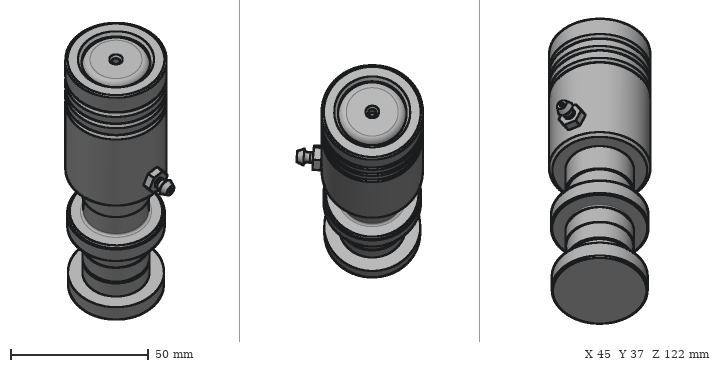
import cadquery as cq
import math

TOP = 122.0
BUSHING_LENGTH = 60.0
BUSHING_BOTTOM = TOP - BUSHING_LENGTH
NECK_TOP = 50.5
COLLAR_TOP = 40.0
COLLAR_BOTTOM = 32.1
UNDERCUT_BOTTOM = 31.1
FIT_STEP = 23.0
PILLAR_BOTTOM = 14.4
FLANGE_TOP = 7.3

BUSHING_D = 37.0
BUSHING_TOP_EDGE_WIDTH = 0.9
BUSHING_TOP_EDGE_HEIGHT = 0.5
BUSHING_BOTTOM_CHAMFER = 1.2
MOUTH_D = 27.7
GROOVE_COUNT = 3
GROOVE_PITCH = 6.1
FIRST_GROOVE_DEPTH = 9.6
GROOVE_WIDTH = 2.5
GROOVE_DEPTH = 1.1

PILLAR_D = 25.0
NECK_D = 23.9
TAIL_D = 24.5
COLLAR_D = 35.6
NOSE_FILLET = 3.0
NECK_FILLET = 1.0
COLLAR_TOP_CHAMFER = 0.7
COLLAR_TAPER_WIDTH = 0.2
COLLAR_TAPER_HEIGHT = 0.5
UNDERCUT_FILLET = 0.4
COLLAR_BOTTOM_CHAMFER = 0.5
SEAT_CHAMFER = 0.5
TAIL_CHAMFER = 0.9
CENTRE_MOUTH_D = 4.9
CENTRE_HOLE_D = 2.9
CENTRE_HOLE_DEPTH = 4.9
DRILL_POINT_ANGLE = 118.0

CAP_D = 35.0
CAP_CHAMFER_WIDTH = 0.5
CAP_CHAMFER_HEIGHT = 0.7

NIPPLE_Z = 72.0
NIPPLE_ANGLE = -20.0
HEX_FLATS = 8.3
HEX_THICKNESS = 3.0
NIPPLE_COLLAR_D = 4.0
NIPPLE_COLLAR_END = 4.1
WAIST_D = 3.7
WAIST_POSITION = 5.2
HEAD_D = 6.1
HEAD_POSITION = 6.5
TIP_D = 4.0
TIP_POSITION = 9.0
GREASE_PORT_D = 1.5
GREASE_PORT_DEPTH = 1.2
SHANK_D = 5.0
SHANK_LENGTH = 5.0


def revolve_profile(profile):
    """Close a half section drawn in XZ and turn it about the Z axis."""
    return profile.close().revolve(360, (0, 0, 0), (0, 1, 0))


def nipple_plane():
    """Plane tangent to the bushing, facing outward along the nipple axis."""
    angle = math.radians(NIPPLE_ANGLE)
    direction = (math.cos(angle), math.sin(angle), 0)
    radius = BUSHING_D / 2
    origin = (radius * direction[0], radius * direction[1], NIPPLE_Z)
    return cq.Plane(origin=origin, xDir=(0, 0, 1), normal=direction)


def nipple_shank():
    return cq.Workplane(nipple_plane()).circle(SHANK_D / 2).extrude(-SHANK_LENGTH)


def make_groove(centre_z):
    """Ring-shaped cutter with 45 degree flanks and a narrow flat floor."""
    outer = BUSHING_D / 2
    half_width = GROOVE_WIDTH / 2
    half_floor = half_width - GROOVE_DEPTH
    return revolve_profile(
        cq.Workplane("XZ")
        .moveTo(outer, centre_z - half_width)
        .lineTo(outer - GROOVE_DEPTH, centre_z - half_floor)
        .lineTo(outer - GROOVE_DEPTH, centre_z + half_floor)
        .lineTo(outer, centre_z + half_width)
    )


def make_bushing():
    bore = PILLAR_D / 2
    outer = BUSHING_D / 2
    mouth = MOUTH_D / 2
    mouth_depth = mouth - bore
    body = revolve_profile(
        cq.Workplane("XZ")
        .moveTo(bore, BUSHING_BOTTOM)
        .lineTo(outer - BUSHING_BOTTOM_CHAMFER, BUSHING_BOTTOM)
        .lineTo(outer, BUSHING_BOTTOM + BUSHING_BOTTOM_CHAMFER)
        .lineTo(outer, TOP - BUSHING_TOP_EDGE_HEIGHT)
        .lineTo(outer - BUSHING_TOP_EDGE_WIDTH, TOP)
        .lineTo(mouth, TOP)
        .lineTo(bore, TOP - mouth_depth)
    )
    for index in range(GROOVE_COUNT):
        body = body.cut(make_groove(TOP - FIRST_GROOVE_DEPTH - index * GROOVE_PITCH))
    return body.cut(nipple_shank())


def make_centre_hole():
    """Countersunk blind hole with a conical drill point."""
    radius = CENTRE_HOLE_D / 2
    countersink = (CENTRE_MOUTH_D - CENTRE_HOLE_D) / 2
    point_height = radius / math.tan(math.radians(DRILL_POINT_ANGLE / 2))
    floor = TOP - CENTRE_HOLE_DEPTH
    return revolve_profile(
        cq.Workplane("XZ")
        .moveTo(0, TOP)
        .lineTo(CENTRE_MOUTH_D / 2, TOP)
        .lineTo(radius, TOP - countersink)
        .lineTo(radius, floor)
        .lineTo(0, floor - point_height)
    )


def make_pillar():
    radius = PILLAR_D / 2
    neck = NECK_D / 2
    tail = TAIL_D / 2
    collar = COLLAR_D / 2
    chamfer_outer = collar - COLLAR_TAPER_WIDTH
    chamfer_bottom = COLLAR_TOP - COLLAR_TOP_CHAMFER
    body = revolve_profile(
        cq.Workplane("XZ")
        .moveTo(0, PILLAR_BOTTOM)
        .lineTo(tail - TAIL_CHAMFER, PILLAR_BOTTOM)
        .lineTo(tail, PILLAR_BOTTOM + TAIL_CHAMFER)
        .lineTo(tail, FIT_STEP)
        .lineTo(radius, FIT_STEP)
        .lineTo(radius, UNDERCUT_BOTTOM - SEAT_CHAMFER)
        .lineTo(neck, UNDERCUT_BOTTOM)
        .lineTo(neck, COLLAR_BOTTOM - UNDERCUT_FILLET)
        .radiusArc((neck + UNDERCUT_FILLET, COLLAR_BOTTOM), UNDERCUT_FILLET)
        .lineTo(collar - COLLAR_BOTTOM_CHAMFER, COLLAR_BOTTOM)
        .lineTo(collar, COLLAR_BOTTOM + COLLAR_BOTTOM_CHAMFER)
        .lineTo(collar, chamfer_bottom - COLLAR_TAPER_HEIGHT)
        .lineTo(chamfer_outer, chamfer_bottom)
        .lineTo(chamfer_outer - COLLAR_TOP_CHAMFER, COLLAR_TOP)
        .lineTo(neck + NECK_FILLET, COLLAR_TOP)
        .radiusArc((neck, COLLAR_TOP + NECK_FILLET), NECK_FILLET)
        .lineTo(neck, NECK_TOP)
        .lineTo(radius, NECK_TOP)
        .lineTo(radius, TOP - NOSE_FILLET)
        .radiusArc((radius - NOSE_FILLET, TOP), -NOSE_FILLET)
        .lineTo(0, TOP)
    )
    return body.cut(make_centre_hole())


def make_cap():
    outer = CAP_D / 2
    return revolve_profile(
        cq.Workplane("XZ")
        .moveTo(0, 0)
        .lineTo(outer - CAP_CHAMFER_WIDTH, 0)
        .lineTo(outer, CAP_CHAMFER_HEIGHT)
        .lineTo(outer, FLANGE_TOP)
        .lineTo(TAIL_D / 2, FLANGE_TOP)
        .lineTo(TAIL_D / 2, PILLAR_BOTTOM)
        .lineTo(0, PILLAR_BOTTOM)
    )


def make_nipple():
    plane = nipple_plane()
    hexagon = (
        cq.Workplane(plane)
        .polygon(6, HEX_FLATS, circumscribed=True)
        .extrude(HEX_THICKNESS)
    )
    section_plane = cq.Plane(origin=plane.origin, xDir=plane.xDir, normal=-plane.yDir)
    head = (
        cq.Workplane(section_plane)
        .moveTo(0, HEX_THICKNESS)
        .lineTo(NIPPLE_COLLAR_D / 2, HEX_THICKNESS)
        .lineTo(NIPPLE_COLLAR_D / 2, NIPPLE_COLLAR_END)
        .threePointArc((WAIST_D / 2, WAIST_POSITION), (HEAD_D / 2, HEAD_POSITION))
        .lineTo(TIP_D / 2, TIP_POSITION)
        .lineTo(GREASE_PORT_D / 2, TIP_POSITION)
        .lineTo(GREASE_PORT_D / 2, TIP_POSITION - GREASE_PORT_DEPTH)
        .lineTo(0, TIP_POSITION - GREASE_PORT_DEPTH)
    )
    return hexagon.union(revolve_profile(head)).union(nipple_shank())


bushing = make_bushing()
pillar = make_pillar()
cap = make_cap()
nipple = make_nipple()

bodies = [bushing, pillar, cap, nipple]
result = cq.Compound.makeCompound([body.solids().val() for body in bodies])